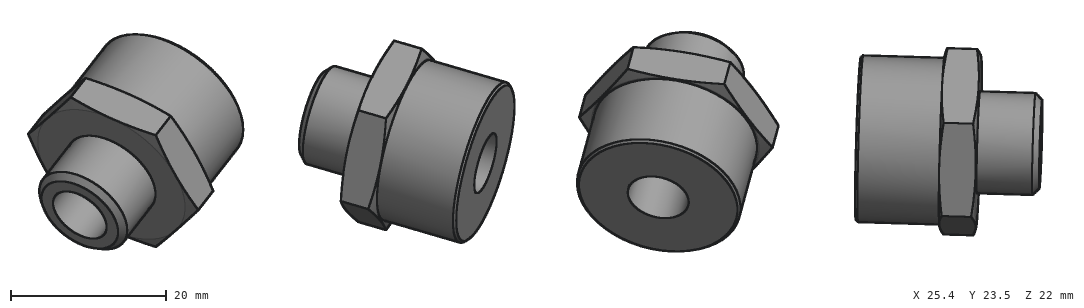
import cadquery as cq
import math

hex_corners = 25.4
hex_flats = hex_corners * math.sqrt(3) / 2
hex_length = 4.7
hex_chamfer_angle = 15.0

large_diameter = 21.5
large_length = 10.8
large_chamfer = 0.33

small_diameter = 13.15
small_length = 8.0
small_chamfer = 0.86

bore_diameter = 8.0

hex_start = small_length
hex_end = hex_start + hex_length
total_length = hex_end + large_length


def cylinder(diameter, start, length):
    """Cylinder along +Y beginning at the given axial position."""
    plane = cq.Plane(origin=(0, start, 0), xDir=(1, 0, 0), normal=(0, 1, 0))
    return cq.Workplane(plane).circle(diameter / 2).extrude(length)


def chamfered_hex():
    """Hexagon with corners on X, its corners turned off conically on both faces."""
    plane = cq.Plane(origin=(0, hex_start, 0), xDir=(1, 0, 0), normal=(0, 1, 0))
    prism = cq.Workplane(plane).polygon(6, hex_corners).extrude(hex_length)

    face_radius = hex_flats / 2
    corner_radius = hex_corners / 2
    corner_drop = (corner_radius - face_radius) * math.tan(math.radians(hex_chamfer_angle))
    envelope = (
        cq.Workplane("XY")
        .moveTo(0, hex_start)
        .lineTo(face_radius, hex_start)
        .lineTo(corner_radius, hex_start + corner_drop)
        .lineTo(corner_radius, hex_end - corner_drop)
        .lineTo(face_radius, hex_end)
        .lineTo(0, hex_end)
        .close()
        .revolve(360, (0, 0, 0), (0, 1, 0))
    )
    return prism.intersect(envelope)


small_end = cylinder(small_diameter, 0, hex_start).faces("<Y").chamfer(small_chamfer)
large_end = cylinder(large_diameter, hex_end, large_length).faces(">Y").chamfer(large_chamfer)
bore = cylinder(bore_diameter, 0, total_length)

result = chamfered_hex().union(small_end).union(large_end).cut(bore)